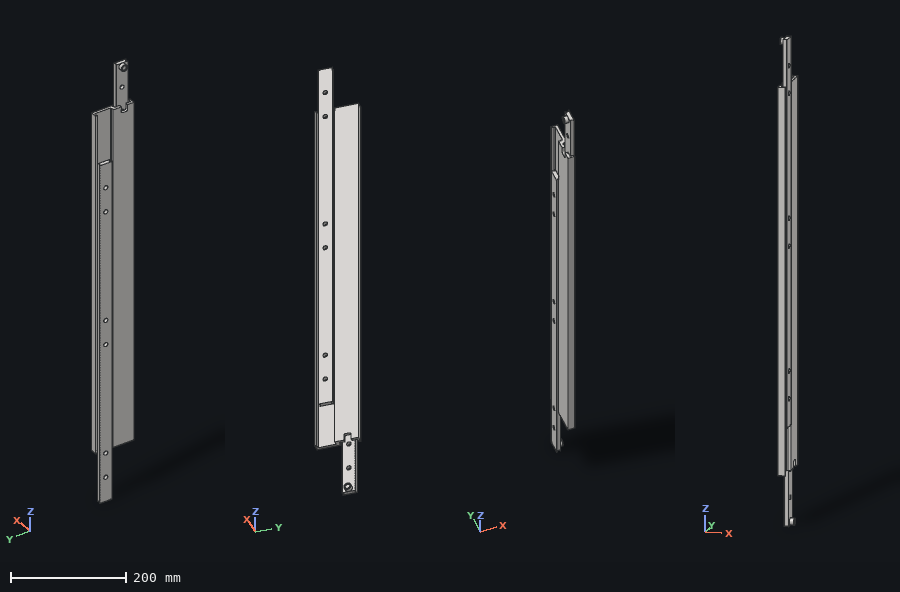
import cadquery as cq

overall_height = 888.81
overall_depth = 17.0
member_length = 700.0
profile_width = 80.0
profile_depth = 13.0
profile_bottom = 104.4

rail_offset = 20.0
rail_width = 26.0
channel_width = 32.0
track_diameter = 7.0
track_spacing = 27.5
track_x = 4.25

rail_back = 1.0
web_thickness = 5.5

hole_diameter = 8.0
hole_group_pitch = 275.0
hole_pair_pitch = 50.0
first_hole = 50.0
holes_per_group = 2
hole_groups = 3
hole_distances = [
    first_hole + group * hole_group_pitch + step * hole_pair_pitch
    for group in range(hole_groups)
    for step in range(holes_per_group)
]

lug_diameter = 13.0
lug_inset = lug_diameter / 2
lug_recess_diameter = 9.0
lug_recess_depth = 1.0
notch_width = 13.0
notch_depth = 13.0
notch_corner_radius = 3.0

outer_face = overall_depth / 2
web_face = profile_depth / 2
upper_rail_bottom = overall_height - member_length
profile_top = profile_bottom + member_length


def block(x_range, y_center, y_width, z_range):
    """Box between two X values and two Z values, centred at y_center."""
    x_low, x_high = sorted(x_range)
    z_low, z_high = sorted(z_range)
    return (
        cq.Workplane("XY")
        .box(x_high - x_low, y_width, z_high - z_low, centered=(False, True, False))
        .translate((x_low, y_center, z_low))
    )


def ball_tracks(side, z_low):
    """Pair of round grooves along both edges of the rail on the given X side."""
    edges = [(side * track_x, -side * rail_offset + end * track_spacing / 2) for end in (-1, 1)]
    return (
        cq.Workplane("XY", origin=(0, 0, z_low))
        .pushPoints(edges)
        .circle(track_diameter / 2)
        .extrude(member_length)
    )


def stop_lug(side, y_center, lug_end):
    """Round peg on the back of a rail, with a shallow recess in its tip."""
    lug_z = lug_end - side * lug_inset
    peg = (
        cq.Workplane("YZ", origin=(side * rail_back, y_center, lug_z))
        .circle(lug_diameter / 2)
        .extrude(-side * (rail_back + web_face))
    )
    recess = (
        cq.Workplane("YZ", origin=(-side * web_face, y_center, lug_z))
        .circle(lug_recess_diameter / 2)
        .extrude(side * lug_recess_depth)
    )
    return peg.cut(recess)


def make_rail(side, z_low):
    """Flat rail on the +X (side 1) or -X (side -1) face; its lug is at the top or bottom end."""
    y_center = -side * rail_offset
    z_high = z_low + member_length
    lug_end, plain_end = (z_high, z_low) if side > 0 else (z_low, z_high)

    rail = block((side * rail_back, side * outer_face), y_center, rail_width, (z_low, z_high))
    rail = rail.cut(ball_tracks(side, z_low))
    rail = rail.union(stop_lug(side, y_center, lug_end))
    screw_holes = (
        cq.Workplane("YZ", origin=(-outer_face, 0, 0))
        .pushPoints([(y_center, plain_end + side * distance) for distance in hole_distances])
        .circle(hole_diameter / 2)
        .extrude(overall_depth)
    )
    return rail.cut(screw_holes)


def lug_notch(side, notched_end):
    """Cutter for the slot with rounded inner corners, open at the notched end of the web."""
    floor = notched_end - side * notch_depth
    beyond_end = notched_end + side * notch_depth
    slot = block((-web_face, web_face), -side * rail_offset, notch_width, (floor, beyond_end))
    return slot.edges("|X").fillet(notch_corner_radius)


def make_profile():
    """S-shaped middle member with one channel facing each way."""
    profile = block((-web_face, web_face), 0, profile_width, (profile_bottom, profile_top))
    for side, notched_end in ((1, profile_top), (-1, profile_bottom)):
        y_center = -side * rail_offset
        channel = block(
            (side * (-web_face + web_thickness), side * web_face),
            y_center,
            channel_width,
            (profile_bottom, profile_top),
        )
        profile = profile.cut(channel).cut(ball_tracks(side, profile_bottom))
        profile = profile.cut(lug_notch(side, notched_end))
    return profile


profile = make_profile()
upper_rail = make_rail(1, upper_rail_bottom)
lower_rail = make_rail(-1, 0)

result = cq.Compound.makeCompound([profile.val(), upper_rail.val(), lower_rail.val()])